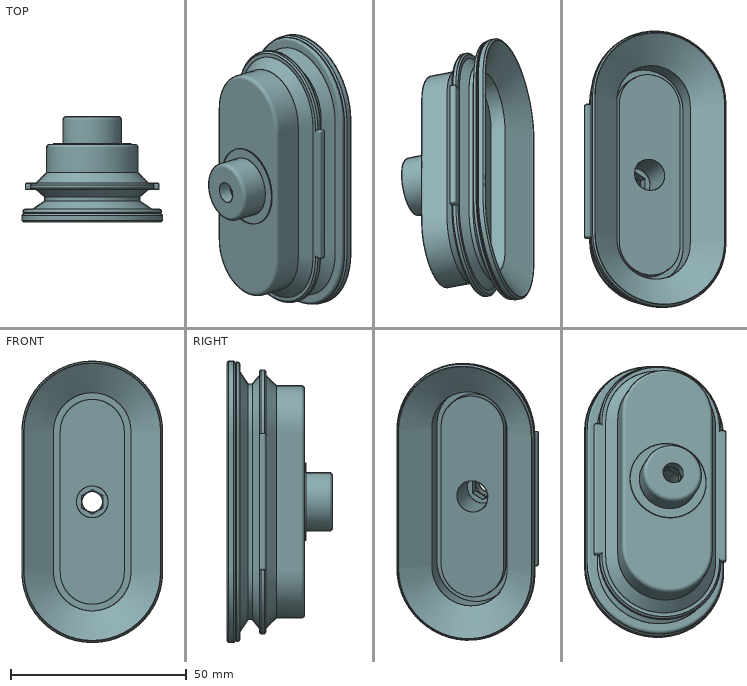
import cadquery as cq
import math

STRAIGHT_LENGTH = 40.0
END_CENTRE_Z = STRAIGHT_LENGTH / 2

LIP_RADIUS = 20.0
LIP_HEIGHT = 2.4
LIP_CORNER = 0.5
NOTCH_RADIUS = 19.3
NOTCH_WIDTH = 0.3
BEAD_RADIUS = 19.7
BEAD_BACK_Y = 3.7
BEAD_ROUND = 0.8
LIP_CONE_RADIUS = 16.9

NECK_RADIUS = 13.5
NECK_FRONT_Y = 6.0
NECK_BACK_Y = 7.2
FOLD_RADIUS = 15.9
FLANGE_RADIUS = 17.5
FLANGE_FRONT_Y = 9.2
FLANGE_THICKNESS = 1.9
FLANGE_BACK_Y = FLANGE_FRONT_Y + FLANGE_THICKNESS
FLANGE_CORNER = 0.5

BAR_HALF_WIDTH = 19.0
BAR_LENGTH = 38.8

BODY_RADIUS = 13.0
BODY_FRONT_Y = 14.1
BODY_BACK_Y = 22.1
BODY_ROUND = 1.0

MOUTH_RADIUS = 19.4
MOUTH_BEVEL = 0.3
CAVITY_RADIUS = 11.0
CAVITY_STEP_Y = 5.6
PAD_RADIUS = 9.1
PAD_Y = 9.1
MOAT_DEPTH = 3.0
MOAT_Y = PAD_Y + MOAT_DEPTH

COLLAR_RADIUS = 11.0
COLLAR_BACK_Y = 22.4
BOSS_RADIUS = 8.33
BOSS_BACK_Y = 30.0
BOSS_ROUND = 1.0

BORE_DIAMETER = 9.0
BORE_END_Y = BODY_BACK_Y
HEX_ACROSS_FLATS = 6.0
HEX_TURN = 30.0
HEX_END_Y = 26.0
PORT_DIAMETER = 5.8


def round_back_corner(profile, radius, back_y, size):
    """Continue a profile in (radius, y) along a convex quarter round that ends at back_y."""
    inset = size * (1 - math.sqrt(0.5))
    middle = (radius - inset, back_y - inset)
    return profile.lineTo(radius, back_y - size).threePointArc(middle, (radius - size, back_y))


def sweep_oval(profile):
    """Carry a closed (radius, y) profile, bounded by the axis, around the oval path."""
    face = cq.Face.makeFromWires(profile.val())
    side = cq.Workplane(cq.Solid.extrudeLinear(face, cq.Vector(0, 0, STRAIGHT_LENGTH)))
    side = side.translate((0, 0, -END_CENTRE_Z))
    end = cq.Workplane(cq.Solid.revolve(face, 360, cq.Vector(0, 0, 0), cq.Vector(0, 1, 0)))
    oval = side.union(side.mirror("YZ"))
    for centre_z in (-END_CENTRE_Z, END_CENTRE_Z):
        oval = oval.union(end.translate((0, 0, centre_z)))
    return oval


def cross_plane(y):
    """Workplane across the Y axis at height y above the mouth."""
    return cq.Workplane("XZ", origin=(0, y, 0))


def extrude_back(sketch, depth):
    """Extrude a sketch from cross_plane toward +Y."""
    return sketch.extrude(-depth)


def make_shell():
    profile = (
        cq.Workplane("XY")
        .moveTo(0, 0)
        .lineTo(LIP_RADIUS - LIP_CORNER, 0)
        .lineTo(LIP_RADIUS, LIP_CORNER)
        .lineTo(LIP_RADIUS, LIP_HEIGHT - LIP_CORNER)
        .lineTo(LIP_RADIUS - LIP_CORNER, LIP_HEIGHT)
        .lineTo(NOTCH_RADIUS, LIP_HEIGHT)
        .lineTo(NOTCH_RADIUS, LIP_HEIGHT + NOTCH_WIDTH)
        .lineTo(BEAD_RADIUS, LIP_HEIGHT + NOTCH_WIDTH)
    )
    profile = round_back_corner(profile, BEAD_RADIUS, BEAD_BACK_Y, BEAD_ROUND)
    profile = (
        profile.lineTo(LIP_CONE_RADIUS, BEAD_BACK_Y)
        .lineTo(NECK_RADIUS, NECK_FRONT_Y)
        .lineTo(NECK_RADIUS, NECK_BACK_Y)
        .lineTo(FOLD_RADIUS, FLANGE_FRONT_Y)
        .lineTo(FLANGE_RADIUS - FLANGE_CORNER, FLANGE_FRONT_Y)
        .lineTo(FLANGE_RADIUS, FLANGE_FRONT_Y + FLANGE_CORNER)
        .lineTo(FLANGE_RADIUS, FLANGE_BACK_Y - FLANGE_CORNER)
        .lineTo(FLANGE_RADIUS - FLANGE_CORNER, FLANGE_BACK_Y)
        .lineTo(FOLD_RADIUS, FLANGE_BACK_Y)
        .lineTo(BODY_RADIUS, BODY_FRONT_Y)
    )
    profile = round_back_corner(profile, BODY_RADIUS, BODY_BACK_Y, BODY_ROUND)
    return sweep_oval(profile.lineTo(0, BODY_BACK_Y).close())


def make_flange_bars():
    bars = cq.Workplane("XY").box(2 * BAR_HALF_WIDTH, FLANGE_THICKNESS, BAR_LENGTH)
    bars = bars.edges().fillet(FLANGE_CORNER)
    return bars.translate((0, FLANGE_FRONT_Y + FLANGE_THICKNESS / 2, 0))


def make_fitting():
    collar = extrude_back(cross_plane(BODY_BACK_Y).circle(COLLAR_RADIUS), COLLAR_BACK_Y - BODY_BACK_Y)
    boss = extrude_back(cross_plane(BODY_BACK_Y).circle(BOSS_RADIUS), BOSS_BACK_Y - BODY_BACK_Y)
    return collar.union(boss.faces(">Y").edges().fillet(BOSS_ROUND))


def make_cavity():
    profile = (
        cq.Workplane("XY")
        .moveTo(0, 0)
        .lineTo(MOUTH_RADIUS, 0)
        .lineTo(MOUTH_RADIUS - MOUTH_BEVEL, MOUTH_BEVEL)
        .lineTo(CAVITY_RADIUS, CAVITY_STEP_Y)
        .lineTo(CAVITY_RADIUS, MOAT_Y)
        .lineTo(0, MOAT_Y)
        .close()
    )
    return sweep_oval(profile)


def make_pad():
    pad_length = STRAIGHT_LENGTH + 2 * PAD_RADIUS
    return extrude_back(cross_plane(PAD_Y).slot2D(pad_length, 2 * PAD_RADIUS, 90), MOAT_DEPTH)


def make_passage():
    bore = extrude_back(cross_plane(PAD_Y).circle(BORE_DIAMETER / 2), BORE_END_Y - PAD_Y)
    hex_corner_diameter = HEX_ACROSS_FLATS / math.cos(math.radians(HEX_TURN))
    hexagon = cross_plane(BORE_END_Y).polygon(6, hex_corner_diameter)
    socket = extrude_back(hexagon, HEX_END_Y - BORE_END_Y)
    socket = socket.rotate((0, 0, 0), (0, 1, 0), HEX_TURN)
    port = extrude_back(cross_plane(HEX_END_Y).circle(PORT_DIAMETER / 2), BOSS_BACK_Y - HEX_END_Y)
    return bore.union(socket).union(port)


shell = make_shell().union(make_flange_bars())
cup = shell.cut(make_cavity()).union(make_pad())
result = cup.union(make_fitting()).cut(make_passage())